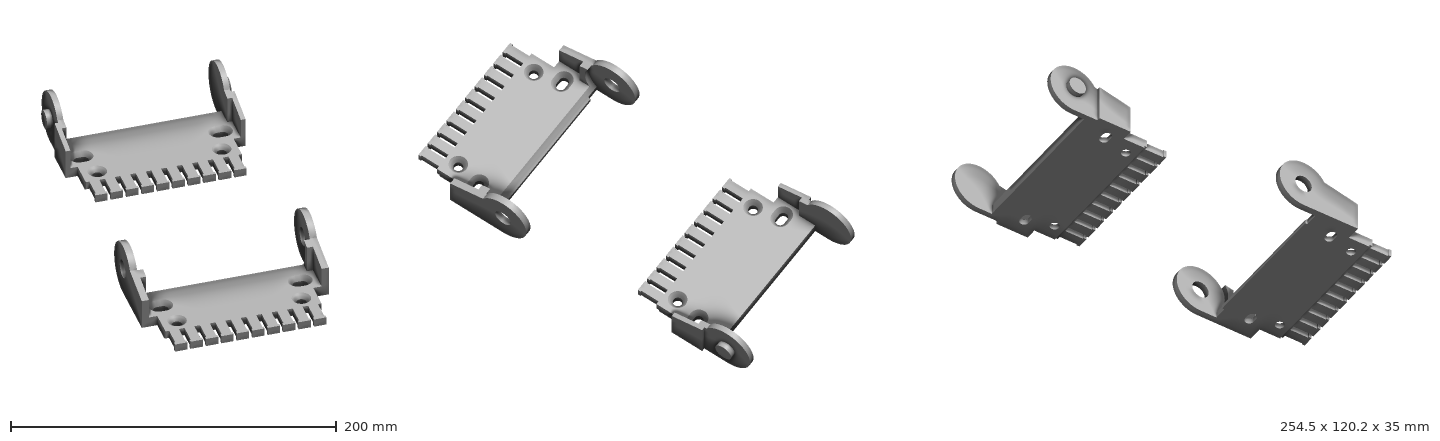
import cadquery as cq
import math


overall_length = 254.5
overall_width = 120.2
bracket_length = 89.4
bracket_spacing = overall_length - bracket_length

eye_diameter = 35.0
eye_radius = eye_diameter / 2
neck_angle = math.radians(30)
neck_x = eye_radius + eye_radius * math.cos(neck_angle)
neck_z = eye_radius + eye_radius * math.sin(neck_angle)
tail_end_x = 57.3
tail_end_z = 20.0
pivot_diameter = 12.0

inner_face_y = 51.7
joint_face_y = 55.5
socket_outer_y = overall_width / 2
cheek_inner_y = 54.7
cheek_outer_y = 57.8
pin_end_y = 59.3
cheek_start_x = 34.4
shoulder_end_x = 39.2

pin_plate_start_x = 27.0
socket_plate_start_x = 27.5
plate_end_x = 74.3
plate_half_width = 50.2
plate_thickness = 7.0
underside_step = 1.5
underside_end_x = 72.3

finger_count = 10
finger_pitch = 10.0
finger_width = 6.4
finger_head_width = 8.0
finger_head_length = 2.0

screw_diameter = 6.0
countersink_diameter = 12.0
countersink_depth = (countersink_diameter - screw_diameter) / 2
round_hole_x = 65.5
round_hole_y = 40.0
slot_hole_x = 47.4
slot_hole_y = 44.8
slot_travel = 3.3

clearance_radius = 17.8
corner_notch_x = 29.0
corner_notch_y = 46.5


def box(x_start, x_end, y_start, y_end, z_start, z_end):
    """Box between the given limits."""
    size = (x_end - x_start, y_end - y_start, z_end - z_start)
    return cq.Workplane("XY", origin=(x_start, y_start, z_start)).box(*size, centered=False)


def cylinder_along_y(diameter, y_start, y_end):
    """Cylinder on the pivot axis."""
    plane = cq.Workplane("XZ", origin=(eye_radius, y_start, eye_radius))
    return plane.circle(diameter / 2).extrude(y_start - y_end)


def side_wall(y_start, y_end):
    """Round eye with its sloped tail, on the +Y side."""
    return (
        cq.Workplane("XZ", origin=(0, y_start, 0))
        .moveTo(eye_radius, 0)
        .lineTo(tail_end_x, 0)
        .lineTo(tail_end_x, tail_end_z)
        .lineTo(neck_x, neck_z)
        .threePointArc((0, eye_radius), (eye_radius, 0))
        .close()
        .extrude(y_start - y_end)
    )


def both_sides(half):
    """Add the mirror image across Y = 0."""
    return half.union(half.mirror("XZ"))


def base_plate(start_x, wall_y):
    """Flat plate that reaches out to the side walls, then narrows towards the fingers."""
    wide = box(start_x, tail_end_x, -wall_y, wall_y, 0, plate_thickness)
    narrow = box(tail_end_x, plate_end_x, -plate_half_width, plate_half_width, 0, plate_thickness)
    step = box(underside_end_x, plate_end_x, -plate_half_width, plate_half_width, 0, underside_step)
    return wide.union(narrow).cut(step)


def finger(y):
    """Strain relief finger with a wider head."""
    head_x = bracket_length - finger_head_length
    stem_half = finger_width / 2
    head_half = finger_head_width / 2
    stem = box(plate_end_x, head_x, y - stem_half, y + stem_half, underside_step, plate_thickness)
    head = box(head_x, bracket_length, y - head_half, y + head_half, underside_step, plate_thickness)
    return stem.union(head)


def screw_hole(x, y):
    """Cutter for a countersunk round hole."""
    shank = cq.Workplane("XY", origin=(x, y, 0)).circle(screw_diameter / 2).extrude(plate_thickness)
    cone = cq.Solid.makeCone(
        screw_diameter / 2,
        countersink_diameter / 2,
        countersink_depth,
        pnt=cq.Vector(x, y, plate_thickness - countersink_depth),
    )
    return shank.union(cq.Workplane(cone))


def slotted_screw_hole(x, y):
    """Cutter for a countersunk hole lengthened along Y."""
    middle = (
        cq.Workplane("XZ", origin=(x, y + slot_travel / 2, 0))
        .moveTo(-screw_diameter / 2, 0)
        .lineTo(screw_diameter / 2, 0)
        .lineTo(screw_diameter / 2, plate_thickness - countersink_depth)
        .lineTo(countersink_diameter / 2, plate_thickness)
        .lineTo(-countersink_diameter / 2, plate_thickness)
        .lineTo(-screw_diameter / 2, plate_thickness - countersink_depth)
        .close()
        .extrude(slot_travel)
    )
    ends = screw_hole(x, y - slot_travel / 2).union(screw_hole(x, y + slot_travel / 2))
    return middle.union(ends)


def add_fingers_and_holes(bracket):
    """Features that both brackets share."""
    first_finger_y = -finger_pitch * (finger_count - 1) / 2
    for i in range(finger_count):
        bracket = bracket.union(finger(first_finger_y + i * finger_pitch))
    for side in (-1, 1):
        bracket = bracket.cut(screw_hole(round_hole_x, side * round_hole_y))
        bracket = bracket.cut(slotted_screw_hole(slot_hole_x, side * slot_hole_y))
    return bracket


def make_pin_bracket():
    """Bracket with outward pins on recessed eyes."""
    eye = side_wall(inner_face_y, joint_face_y)
    eye = eye.intersect(box(0, shoulder_end_x, inner_face_y, joint_face_y, 0, eye_diameter))
    cheek = side_wall(cheek_inner_y, cheek_outer_y)
    cheek = cheek.intersect(box(cheek_start_x, tail_end_x, cheek_inner_y, cheek_outer_y, 0, eye_diameter))
    pin = cylinder_along_y(pivot_diameter, joint_face_y, pin_end_y)
    walls = both_sides(eye.union(cheek).union(pin))
    plate = base_plate(pin_plate_start_x, cheek_inner_y)
    return add_fingers_and_holes(plate.union(walls))


def make_socket_bracket():
    """Bracket with pivot holes and a round clearance for the mating eyes."""
    shoulder = side_wall(inner_face_y, joint_face_y)
    shoulder = shoulder.intersect(
        box(corner_notch_x, shoulder_end_x, inner_face_y, joint_face_y, 0, eye_diameter)
    )
    notch = box(socket_plate_start_x, corner_notch_x, corner_notch_y, joint_face_y, 0, plate_thickness)
    clearance = cylinder_along_y(2 * clearance_radius, -joint_face_y, joint_face_y)
    plate = base_plate(socket_plate_start_x, joint_face_y).cut(both_sides(notch))
    middle = plate.union(both_sides(shoulder)).cut(clearance)
    wall = side_wall(joint_face_y, socket_outer_y)
    wall = wall.cut(cylinder_along_y(pivot_diameter, joint_face_y, socket_outer_y))
    return add_fingers_and_holes(middle.union(both_sides(wall)))


pin_bracket = make_pin_bracket()
socket_bracket = make_socket_bracket().translate((bracket_spacing, 0, 0))

result = cq.Compound.makeCompound([pin_bracket.val(), socket_bracket.val()])